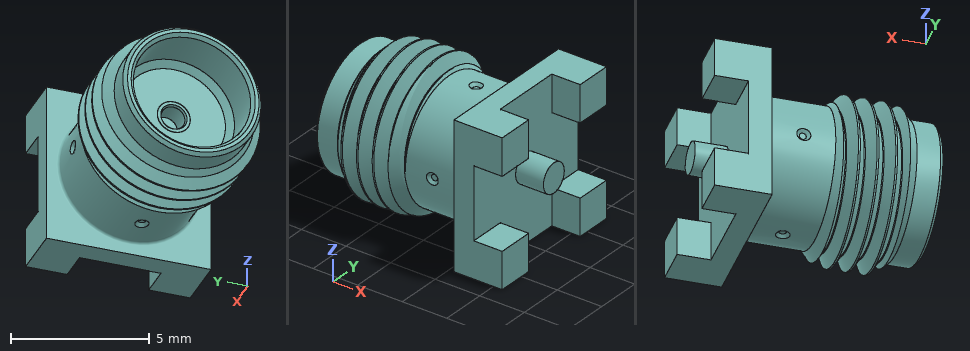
import cadquery as cq
import math

length = 8.8
flange_size = 6.35
flange_start = 6.635
notch_floor = 7.52
notch_width = 3.13

barrel_radius = 5.33 / 2
nose_chamfer = 0.13
base_fillet = 0.11

bore_radius = 4.52 / 2
mouth_chamfer = 0.13
socket_floor_radius = 3.99 / 2
socket_depth = 2.015
floor_cone_length = 0.22

contact_radius = 1.27 / 2
contact_rise = 0.02
contact_face = socket_depth - contact_rise
contact_hole_radius = 0.915 / 2
contact_mouth_radius = 1.01 / 2
contact_mouth_depth = 0.09
contact_hole_depth = 0.88
pin_end = 8.77

crest_radius = flange_size / 2
thread_start = 1.02
thread_end = 4.08
pitch = 0.7
crest_flat = 0.07
flank_angle = 30.0
root_overlap = 0.01
helix_start = 0.36
helix_turns = 6

dimple_place = 5.29
dimple_radius = 0.26
dimple_floor_radius = 0.13
dimple_depth = 0.13
dimple_clearance = 0.04


def cylinder(radius, start, end):
    """Solid cylinder along the connector axis."""
    return cq.Workplane("YZ", origin=(start, 0, 0)).circle(radius).extrude(end - start)


def revolve_about_axis(points):
    """Revolve an outline of (axial place, radius) points about X."""
    return cq.Workplane("XY").polyline(points).close().revolve(360, (0, 0, 0), (1, 0, 0))


def make_flange():
    """Square flange whose crossed notches leave four corner legs."""
    flange = cq.Workplane("YZ", origin=(flange_start, 0, 0)).rect(flange_size, flange_size)
    flange = flange.extrude(length - flange_start)
    notches = cq.Workplane("YZ", origin=(notch_floor, 0, 0))
    for width, height in ((notch_width, flange_size), (flange_size, notch_width)):
        flange = flange.cut(notches.rect(width, height).extrude(length - notch_floor))
    return flange


def make_body():
    """Barrel with a chamfered nose, joined to the flange by a fillet."""
    barrel = cylinder(barrel_radius, 0, flange_start).faces("<X").chamfer(nose_chamfer)
    joint_margin = 0.01
    joint = cq.selectors.BoxSelector(
        (flange_start - joint_margin, -flange_size, -flange_size),
        (flange_start + joint_margin, flange_size, flange_size),
    )
    return barrel.union(make_flange()).edges(joint).edges("%CIRCLE").fillet(base_fillet)


def make_thread():
    """Threaded length of the barrel, its helical ridge trimmed by a 45 degree cone at each end."""
    root_radius = barrel_radius - root_overlap
    half_crest = crest_flat / 2
    half_root = half_crest + (crest_radius - root_radius) * math.tan(math.radians(flank_angle))
    profile = cq.Workplane("XZ").polyline([
        (root_radius, -half_root),
        (crest_radius, -half_crest),
        (crest_radius, half_crest),
        (root_radius, half_root),
    ]).close()
    helix = cq.Wire.makeHelix(pitch, pitch * helix_turns, root_radius)
    ridge = profile.sweep(cq.Workplane(obj=helix), isFrenet=True)
    ridge = ridge.rotate((0, 0, 0), (0, 1, 0), 90).translate((helix_start, 0, 0))

    half_length = (thread_end - thread_start) / 2
    envelope = revolve_about_axis([
        (thread_start, 0),
        (thread_start, barrel_radius),
        (thread_start + half_length, barrel_radius + half_length),
        (thread_end, barrel_radius),
        (thread_end, 0),
    ])
    core = cylinder(barrel_radius, 0, helix_start + pitch * (helix_turns + 1))
    return core.union(ridge).intersect(envelope)


def make_socket():
    """Bore with a chamfered mouth and a conical step down to its floor."""
    return revolve_about_axis([
        (0, 0),
        (0, bore_radius + mouth_chamfer),
        (mouth_chamfer, bore_radius),
        (socket_depth - floor_cone_length, bore_radius),
        (socket_depth, socket_floor_radius),
        (socket_depth, 0),
    ])


def make_contact_hole():
    """Hole with a tapered mouth in the end of the centre contact."""
    hole_floor = contact_face + contact_hole_depth
    return revolve_about_axis([
        (contact_face, 0),
        (contact_face, contact_mouth_radius),
        (contact_face + contact_mouth_depth, contact_hole_radius),
        (hole_floor, contact_hole_radius),
        (hole_floor, 0),
    ])


def make_dimple():
    """Flat-bottomed conical dimple entering the top of the barrel."""
    slope = (dimple_radius - dimple_floor_radius) / dimple_depth
    floor = barrel_radius - dimple_depth
    rim = barrel_radius + dimple_clearance
    outline = cq.Workplane("XZ").polyline([
        (0, floor),
        (dimple_floor_radius, floor),
        (dimple_radius + slope * dimple_clearance, rim),
        (0, rim),
    ]).close()
    return outline.revolve(360, (0, 0, 0), (0, 1, 0)).translate((dimple_place, 0, 0))


result = make_body().union(make_thread())
result = result.cut(make_socket())
result = result.union(cylinder(contact_radius, contact_face, pin_end))
result = result.cut(make_contact_hole())
for angle in (0, 90, 180, 270):
    result = result.cut(make_dimple().rotate((0, 0, 0), (1, 0, 0), angle))